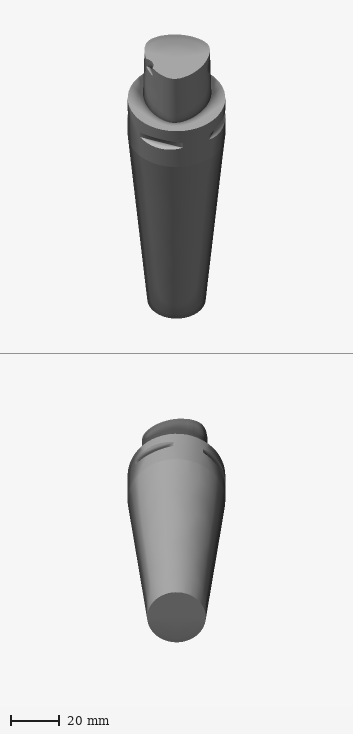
import math

import cadquery as cq

total_height = 136.0
flange_diameter = 40.0
flange_height = 20.0
shank_tip_diameter = 24.0

coupling_height = 24.0
coupling_base_diameter = 28.0
coupling_taper = 1 / 20
lobe_height = 1.0
lobe_count = 3
first_lobe_angle = 90.0
points_per_arc = 7

keyway_radius = 4.0
keyway_depth = 4.1
keyway_floor_offset = 10.8

groove_count = 4
first_groove_angle = 45.0
groove_below_flange_top = 8.1
groove_floor_width = 2.6
groove_depth = 2.3
groove_wall_angle = 30.0
groove_cutter_margin = 1.0

flange_radius = flange_diameter / 2
flange_top = total_height - coupling_height
shank_height = flange_top - flange_height


def make_body():
    """Cone and flange, turned about the Z axis."""
    return (
        cq.Workplane("XZ")
        .lineTo(shank_tip_diameter / 2, 0)
        .lineTo(flange_radius, shank_height)
        .lineTo(flange_radius, flange_top)
        .lineTo(0, flange_top)
        .close()
        .revolve(360, (0, 0), (0, 1))
    )


def coupling_point(mean_radius, normal_angle):
    """Point and unit tangent of the lobed curve where its normal has the given angle in degrees."""
    angle = math.radians(normal_angle)
    phase = lobe_count * math.radians(normal_angle - first_lobe_angle)
    support = mean_radius + lobe_height * math.cos(phase)
    support_slope = -lobe_count * lobe_height * math.sin(phase)
    normal = cq.Vector(math.cos(angle), math.sin(angle))
    tangent = cq.Vector(-math.sin(angle), math.cos(angle))
    return normal * support + tangent * support_slope, tangent


def coupling_profile(mean_radius, height):
    """Closed wire of alternating lobe and flank curves at the given height."""
    arc_count = 2 * lobe_count
    arc_span = 360 / arc_count
    edges = []
    for arc in range(arc_count):
        start_angle = first_lobe_angle + (arc - 0.5) * arc_span
        samples = [
            coupling_point(mean_radius, start_angle + arc_span * step / (points_per_arc - 1))
            for step in range(points_per_arc)
        ]
        points = [point + cq.Vector(0, 0, height) for point, _ in samples]
        end_tangents = [samples[0][1], samples[-1][1]]
        edges.append(cq.Edge.makeSpline(points, tangents=end_tangents))
    return cq.Wire.assembleEdges(edges)


def make_coupling():
    """Lobed coupling, narrowing towards the top."""
    base_radius = coupling_base_diameter / 2
    top_radius = base_radius - coupling_height * coupling_taper / 2
    base = coupling_profile(base_radius, flange_top)
    top = coupling_profile(top_radius, total_height)
    return cq.Workplane(cq.Solid.makeLoft([base, top], True))


def make_keyway():
    """Round cutter that notches the flank facing -Y."""
    return (
        cq.Workplane("XY", origin=(0, 0, total_height - keyway_depth))
        .center(0, -keyway_floor_offset - keyway_radius)
        .circle(keyway_radius)
        .extrude(keyway_depth)
    )


def make_groove(angle):
    """Straight cutter with flared walls, tangential to the flange at the given angle."""
    reach = groove_depth + groove_cutter_margin
    floor_half = groove_floor_width / 2
    mouth_half = floor_half + reach * math.tan(math.radians(groove_wall_angle))
    floor_x = flange_radius - groove_depth
    mouth_x = floor_x + reach
    section = [
        (floor_x, -floor_half),
        (mouth_x, -mouth_half),
        (mouth_x, mouth_half),
        (floor_x, floor_half),
    ]
    return (
        cq.Workplane("XZ", origin=(0, 0, flange_top - groove_below_flange_top))
        .polyline(section)
        .close()
        .extrude(flange_radius, both=True)
        .rotate((0, 0, 0), (0, 0, 1), angle)
    )


result = make_body().union(make_coupling()).cut(make_keyway())
for index in range(groove_count):
    groove_angle = first_groove_angle + index * 360 / groove_count
    result = result.cut(make_groove(groove_angle))